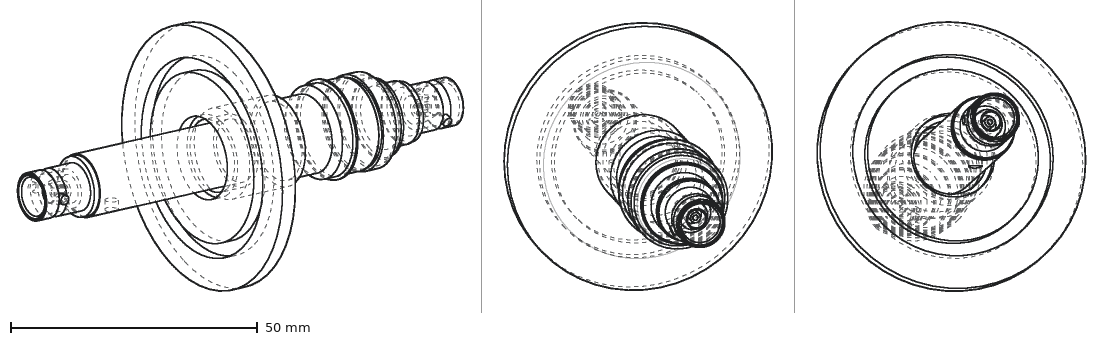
import cadquery as cq
HALF_LENGTH = 52.6

BARREL_RADIUS = 5.0
RIM_OUTER_CHAMFER = 0.3
RIM_OUTER_CHAMFER_DEPTH = 0.1
RIM_INNER_CHAMFER = 0.4
GROOVE_RADIUS = 4.3
GROOVE_START = 3.3
GROOVE_END = 5.2
GROOVE_CENTRE = (GROOVE_START + GROOVE_END) / 2
COLLAR_START = 11.2
COLLAR_END = 12.4
COLLAR_RADIUS = 6.3
TUBE_RADIUS = 6.58
SOCKET_RADIUS = 4.05
SOCKET_DEPTH = 9.5

INSULATOR_RADIUS = 2.9
INSULATOR_TIP_RADIUS = 2.1
INSULATOR_LENGTH = 5.3
INSULATOR_TAPER = 3.2
CONTACT_BORE_RADIUS = 1.9
CONTACT_BORE_DEPTH = 4.2
CONTACT_RADIUS = 1.0
CONTACT_HOLE_RADIUS = 0.5
CONTACT_LENGTH = 3.2

LUG_RADIUS = 1.0
LUG_REACH = 5.63
REAR_LUG_ANGLE = 24.0

FLANGE_RADIUS = 27.5
FLANGE_FACE = -9.7
RIM_END = -6.4
FLANGE_BACK = -4.7
CONE_TOP_RADIUS = 20.4
SEAL_GROOVE_OUTER = 20.7
SEAL_GROOVE_INNER = 17.7
SEAL_GROOVE_DEPTH = 2.7
HUB_RADIUS = 9.5
HUB_END = 9.4
HOLE_RADIUS = 8.6
HOLE_DEPTH = 2.5
CLEARANCE_RADIUS = 7.6
CLEARANCE_DEPTH = 8.4

NECK_RADIUS = 8.2
CHAMFER_START = 17.0
CHAMFER_END = 18.5
BODY_RADIUS = 9.74
RIDGE_START = 21.2
RIDGE_END = 22.2
RIDGE_TAPER = 0.3
RIDGE_RADIUS = 10.4
BODY_END = 27.9
BODY_END_CHAMFER = 0.2
RELIEF_RADIUS = 9.42
BAND_START = 28.6
BAND_END = 31.9
BAND_RADIUS = 10.05
BEAD_RADIUS = 9.1
BEAD_TAPER_START = 33.2
BEAD_END = 34.2
BEAD_END_RADIUS = 8.5
SHOULDER_RADIUS = 8.2
SHOULDER_END = 35.0

VENT_RADIUS = 1.4
VENT_STATION = -32.5
VENT_DEPTH = 2.1


def revolve(points):
    """Turn a closed (radius, station) outline about the Y axis."""
    return cq.Workplane("XY").polyline(points).close().revolve(360, (0, 0, 0), (0, 1, 0))


def ring(inner, outer, start, end):
    return revolve([(inner, start), (outer, start), (outer, end), (inner, end)])


def rod(radius, start, end):
    return ring(0, radius, start, end)


def connector(lug_angle):
    """Bayonet connector at the -Y end, with its lugs turned about the axis."""
    def station(depth):
        return depth - HALF_LENGTH

    floor = station(SOCKET_DEPTH)
    shell = (
        cq.Workplane("XY")
        .moveTo(0, station(0))
        .lineTo(BARREL_RADIUS - RIM_OUTER_CHAMFER, station(0))
        .lineTo(BARREL_RADIUS, station(RIM_OUTER_CHAMFER_DEPTH))
        .lineTo(BARREL_RADIUS, station(GROOVE_START))
        .threePointArc((GROOVE_RADIUS, station(GROOVE_CENTRE)), (BARREL_RADIUS, station(GROOVE_END)))
        .lineTo(BARREL_RADIUS, station(COLLAR_START))
        .lineTo(COLLAR_RADIUS, station(COLLAR_START))
        .lineTo(COLLAR_RADIUS, station(COLLAR_END))
        .lineTo(0, station(COLLAR_END))
        .close()
        .revolve(360, (0, 0, 0), (0, 1, 0))
    )
    lugs = (
        cq.Workplane("YZ")
        .center(station(GROOVE_CENTRE), 0)
        .circle(LUG_RADIUS)
        .extrude(LUG_REACH, both=True)
        .rotate((0, 0, 0), (0, 1, 0), lug_angle)
    )
    socket = revolve([
        (0, station(0)),
        (SOCKET_RADIUS + RIM_INNER_CHAMFER, station(0)),
        (SOCKET_RADIUS, station(RIM_INNER_CHAMFER)),
        (SOCKET_RADIUS, floor),
        (0, floor),
    ])
    tip = floor - INSULATOR_LENGTH
    insulator = revolve([
        (0, floor),
        (INSULATOR_RADIUS, floor),
        (INSULATOR_RADIUS, tip + INSULATOR_TAPER),
        (INSULATOR_TIP_RADIUS, tip),
        (0, tip),
    ]).cut(rod(CONTACT_BORE_RADIUS, tip, tip + CONTACT_BORE_DEPTH))
    contact_floor = tip + CONTACT_BORE_DEPTH
    contact = ring(CONTACT_HOLE_RADIUS, CONTACT_RADIUS, contact_floor - CONTACT_LENGTH, contact_floor)
    return (
        shell.union(lugs)
        .cut(socket)
        .union(insulator)
        .union(contact)
    )


def body():
    """Front tube, flange, hub and stepped rear body."""
    tube_end = HALF_LENGTH - COLLAR_END
    return revolve([
        (0, -tube_end),
        (TUBE_RADIUS, -tube_end),
        (TUBE_RADIUS, FLANGE_FACE),
        (FLANGE_RADIUS, FLANGE_FACE),
        (FLANGE_RADIUS, RIM_END),
        (CONE_TOP_RADIUS, FLANGE_BACK),
        (HUB_RADIUS, FLANGE_BACK),
        (HUB_RADIUS, HUB_END),
        (NECK_RADIUS, HUB_END),
        (NECK_RADIUS, CHAMFER_START),
        (BODY_RADIUS, CHAMFER_END),
        (BODY_RADIUS, RIDGE_START),
        (RIDGE_RADIUS, RIDGE_START + RIDGE_TAPER),
        (RIDGE_RADIUS, RIDGE_END - RIDGE_TAPER),
        (BODY_RADIUS, RIDGE_END),
        (BODY_RADIUS, BODY_END - BODY_END_CHAMFER),
        (BODY_RADIUS - BODY_END_CHAMFER, BODY_END),
        (RELIEF_RADIUS, BODY_END),
        (RELIEF_RADIUS, BAND_START),
        (BAND_RADIUS, BAND_START),
        (BAND_RADIUS, BAND_END),
        (RELIEF_RADIUS, BAND_END),
        (BEAD_RADIUS, BEAD_TAPER_START),
        (BEAD_END_RADIUS, BEAD_END),
        (SHOULDER_RADIUS, BEAD_END),
        (SHOULDER_RADIUS, SHOULDER_END),
        (TUBE_RADIUS, SHOULDER_END),
        (TUBE_RADIUS, tube_end),
        (0, tube_end),
    ])


seal_groove = ring(SEAL_GROOVE_INNER, SEAL_GROOVE_OUTER, FLANGE_FACE, FLANGE_FACE + SEAL_GROOVE_DEPTH)
flange_hole = ring(TUBE_RADIUS, HOLE_RADIUS, FLANGE_FACE, FLANGE_FACE + HOLE_DEPTH)
clearance = ring(TUBE_RADIUS, CLEARANCE_RADIUS, FLANGE_FACE, FLANGE_FACE + CLEARANCE_DEPTH)
vent = (
    cq.Workplane("XY", origin=(0, VENT_STATION, -TUBE_RADIUS))
    .circle(VENT_RADIUS)
    .extrude(VENT_DEPTH)
)

front_connector = connector(0)
rear_connector = connector(REAR_LUG_ANGLE).mirror("XZ")

result = (
    body()
    .cut(seal_groove)
    .cut(flange_hole)
    .cut(clearance)
    .cut(vent)
    .union(front_connector)
    .union(rear_connector)
)